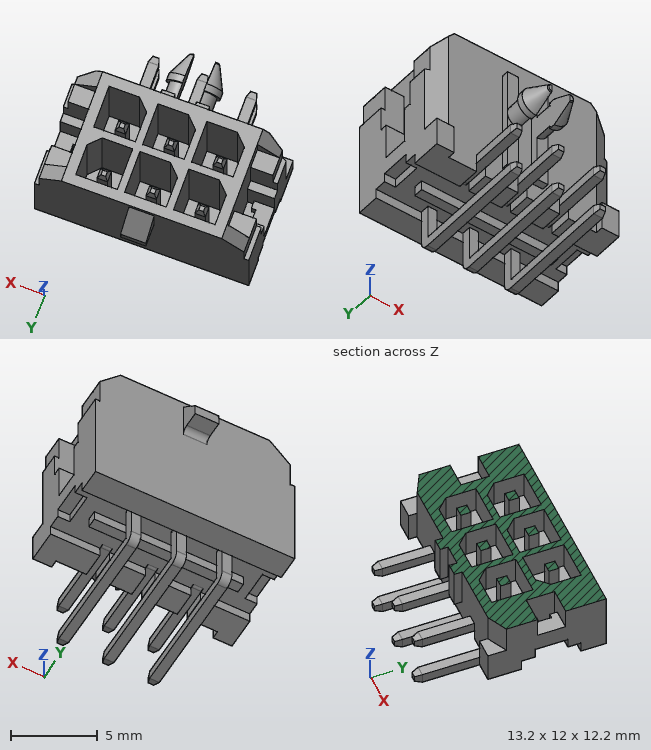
import cadquery as cq


HOUSING_HEIGHT = 9.89
HOUSING_DEPTH = 6.88
CORE_WIDTH = 9.84
FRONT_FACE_WIDTH = 10.65

OVERALL_WIDTH = 13.15
WING_TOP_WIDTH = 12.57
WING_STEP_Z = 6.68
WING_TOP_Z = 8.47
FRONT_SLANT_DEPTH = 0.65
FRONT_RAMP_DEPTH = 0.96
BACK_RAMP_DEPTH = 0.9

UPPER_RECESS_FRONT = 2.06
UPPER_RECESS_BACK = 4.8
UPPER_RECESS_FLOOR = 4.98
LOWER_RECESS_FRONT = 2.59
LOWER_RECESS_BACK = 4.33
LOWER_RECESS_FLOOR = 2.47
NAIL_SLOT_DEPTH = 0.9
NAIL_KEY_WIDTH = 0.8
NAIL_KEY_REACH = 0.28
SIDE_NOTCH_DEPTH = 0.79
SIDE_NOTCH_WIDTH = 2.03
SIDE_NOTCH_TOP = 1.32

FOOT_HEIGHT = 2.0
FOOT_STANDOFF = 0.51
RAIL_STANDOFF = 0.49
RAIL_WIDTH = 0.8
RAIL_GAP = 1.32
RAIL_BOTTOM = 1.26

PITCH = 3.0
COLUMN_X = (-PITCH, 0, PITCH)
FRONT_ROW_Y = 1.96
BACK_ROW_Y = FRONT_ROW_Y + PITCH
ROW_MIDDLE_Y = (FRONT_ROW_Y + BACK_ROW_Y) / 2
PIN_SIZE = 0.65
TAIL_TIP_SIZE = 0.38
CONTACT_TIP_SIZE = 0.29
PIN_TAPER = 0.43
PIN_TOP_Z = 6.84
PIN_BEND_RADIUS = 0.59
LOWEST_Z = -2.35
FRONT_REACH = 3.68
CAVITY_SIZE = 2.55
CAVITY_CORNER = 0.68
CAVITY_FLOOR = 2.0

CHANNEL_FRONT = 1.59
CHANNEL_BACK = BACK_ROW_Y + PIN_SIZE / 2
CHANNEL_HEIGHT = 0.68

PEG_Z = 5.29
PEG_RADIUS = RAIL_WIDTH
COLLAR_RADIUS = 1.0
COLLAR_BACK = 1.72
COLLAR_FRONT = 2.16
PEG_TIP_RADIUS = 0.29
PEG_TIP_CHAMFER = 0.07

LATCH_WIDTH = 1.55
LATCH_REACH = 1.4
LATCH_TOP = 9.48
LATCH_EDGE_TOP = 8.1
LATCH_UNDERSIDE = 7.36
LATCH_FILLET = 0.4


def block(x_range, y_range, z_range):
    """Axis-aligned box between two limits on each axis."""
    size = [high - low for low, high in (x_range, y_range, z_range)]
    return cq.Workplane("XY").box(*size, centered=False).translate((x_range[0], y_range[0], z_range[0]))


def centred_block(width, y_range, z_range):
    """Box centred on X = 0."""
    return block((-width / 2, width / 2), y_range, z_range)


def both_sides(shape):
    """The shape together with its mirror image across X = 0."""
    return shape.union(shape.mirror("YZ"))


def plan_outline(width):
    """Closed outline in plan, with the two front corners slanted back."""
    slope = FRONT_SLANT_DEPTH / (OVERALL_WIDTH - FRONT_FACE_WIDTH)
    corner_y = (width - FRONT_FACE_WIDTH) * slope
    return (
        cq.Workplane("XY")
        .moveTo(-FRONT_FACE_WIDTH / 2, 0)
        .lineTo(FRONT_FACE_WIDTH / 2, 0)
        .lineTo(width / 2, corner_y)
        .lineTo(width / 2, HOUSING_DEPTH)
        .lineTo(-width / 2, HOUSING_DEPTH)
        .lineTo(-width / 2, corner_y)
        .close()
    )


def make_housing():
    """Core with stepped wings whose tops rise to the core as ramps at front and back."""
    lower = plan_outline(OVERALL_WIDTH).extrude(WING_STEP_Z)
    upper = plan_outline(WING_TOP_WIDTH).extrude(HOUSING_HEIGHT)
    ramped_section = (
        cq.Workplane("XZ")
        .moveTo(-WING_TOP_WIDTH / 2, 0)
        .lineTo(WING_TOP_WIDTH / 2, 0)
        .lineTo(WING_TOP_WIDTH / 2, WING_TOP_Z)
        .lineTo(CORE_WIDTH / 2, HOUSING_HEIGHT)
        .lineTo(-CORE_WIDTH / 2, HOUSING_HEIGHT)
        .lineTo(-WING_TOP_WIDTH / 2, WING_TOP_Z)
        .close()
        .extrude(-HOUSING_DEPTH)
    )
    flat_top = both_sides(
        block(
            (CORE_WIDTH / 2, OVERALL_WIDTH / 2),
            (FRONT_RAMP_DEPTH, HOUSING_DEPTH - BACK_RAMP_DEPTH),
            (WING_TOP_Z, HOUSING_HEIGHT),
        )
    )
    return lower.union(upper.intersect(ramped_section)).cut(flat_top)


def make_side_recesses():
    """Stepped side recess, nail slot in its floor, and notch in the bottom edge, on both sides."""
    side_x = (CORE_WIDTH / 2, OVERALL_WIDTH / 2)
    lower_y = (LOWER_RECESS_FRONT, LOWER_RECESS_BACK)
    slot_z = (LOWER_RECESS_FLOOR - NAIL_SLOT_DEPTH, LOWER_RECESS_FLOOR)
    slot_edge_x = FRONT_FACE_WIDTH / 2
    key_y = (ROW_MIDDLE_Y - NAIL_KEY_WIDTH / 2, ROW_MIDDLE_Y + NAIL_KEY_WIDTH / 2)
    notch_x = (OVERALL_WIDTH / 2 - SIDE_NOTCH_DEPTH, OVERALL_WIDTH / 2)
    notch_y = (ROW_MIDDLE_Y - SIDE_NOTCH_WIDTH / 2, ROW_MIDDLE_Y + SIDE_NOTCH_WIDTH / 2)

    upper = block(side_x, (UPPER_RECESS_FRONT, UPPER_RECESS_BACK), (UPPER_RECESS_FLOOR, HOUSING_HEIGHT))
    lower = block(side_x, lower_y, (LOWER_RECESS_FLOOR, UPPER_RECESS_FLOOR))
    nail_slot = block((CORE_WIDTH / 2, slot_edge_x), lower_y, slot_z)
    nail_key = block((CORE_WIDTH / 2, slot_edge_x + NAIL_KEY_REACH), key_y, slot_z)
    notch = block(notch_x, notch_y, (0, SIDE_NOTCH_TOP))
    return both_sides(upper.union(lower).union(nail_slot).union(nail_key).union(notch))


def make_cavity(x, y, corner):
    """Square contact cavity with one front corner cut off: -1 for the left one, 1 for the right one."""
    half = CAVITY_SIZE / 2
    return (
        cq.Workplane("XY")
        .moveTo(corner * half, half)
        .lineTo(-corner * half, half)
        .lineTo(-corner * half, -half)
        .lineTo(corner * (half - CAVITY_CORNER), -half)
        .lineTo(corner * half, CAVITY_CORNER - half)
        .close()
        .extrude(HOUSING_HEIGHT - CAVITY_FLOOR)
        .translate((x, y, CAVITY_FLOOR))
    )


def make_channel():
    """Channel across the underside with a rib along its middle."""
    channel = centred_block(OVERALL_WIDTH, (CHANNEL_FRONT, CHANNEL_BACK), (0, CHANNEL_HEIGHT))
    rib_y = (ROW_MIDDLE_Y - PIN_SIZE / 2, ROW_MIDDLE_Y + PIN_SIZE / 2)
    rib = centred_block(CORE_WIDTH, rib_y, (0, CHANNEL_HEIGHT))
    return channel.cut(rib)


def make_foot():
    """Foot filling the slanted corner and standing out in front of it."""
    return (
        cq.Workplane("XY")
        .moveTo(FRONT_FACE_WIDTH / 2, -FOOT_STANDOFF)
        .lineTo(OVERALL_WIDTH / 2, -FOOT_STANDOFF)
        .lineTo(OVERALL_WIDTH / 2, FRONT_SLANT_DEPTH)
        .lineTo(FRONT_FACE_WIDTH / 2, 0)
        .close()
        .extrude(FOOT_HEIGHT)
    )


def make_rail():
    """Upright rail on the front face."""
    return block(
        (RAIL_GAP / 2, RAIL_GAP / 2 + RAIL_WIDTH),
        (-RAIL_STANDOFF, 0),
        (RAIL_BOTTOM, WING_TOP_Z),
    )


def make_half_peg():
    """Half of a barbed round peg, its flat side level with the inner side of the rail."""
    tip_shoulder_y = -(FRONT_REACH - PEG_TIP_CHAMFER)
    return (
        cq.Workplane("XY")
        .lineTo(PEG_RADIUS, 0)
        .lineTo(PEG_RADIUS, -COLLAR_BACK)
        .lineTo(COLLAR_RADIUS, -COLLAR_BACK)
        .lineTo(COLLAR_RADIUS, -COLLAR_FRONT)
        .lineTo(PEG_TIP_RADIUS, tip_shoulder_y)
        .lineTo(PEG_TIP_RADIUS - PEG_TIP_CHAMFER, -FRONT_REACH)
        .lineTo(0, -FRONT_REACH)
        .close()
        .revolve(180, (0, 0, 0), (0, 1, 0))
        .rotate((0, 0, 0), (0, 1, 0), -90)
        .translate((RAIL_GAP / 2, 0, PEG_Z))
    )


def make_latch():
    """Latch ramp on the back face, blended into it underneath."""
    tip_y = HOUSING_DEPTH + LATCH_REACH
    return (
        cq.Workplane("YZ")
        .moveTo(HOUSING_DEPTH, LATCH_TOP)
        .lineTo(tip_y, LATCH_EDGE_TOP)
        .lineTo(tip_y, LATCH_UNDERSIDE)
        .lineTo(HOUSING_DEPTH + LATCH_FILLET, LATCH_UNDERSIDE)
        .radiusArc((HOUSING_DEPTH, LATCH_UNDERSIDE - LATCH_FILLET), -LATCH_FILLET)
        .close()
        .extrude(LATCH_WIDTH / 2, both=True)
    )


def tapered_bar(length, tip_size):
    """Square bar rising from the origin along Z, with a tapered tip."""
    straight = length - PIN_TAPER
    bar = cq.Workplane("XY").rect(PIN_SIZE, PIN_SIZE).extrude(straight)
    tip = (
        cq.Workplane("XY", origin=(0, 0, straight))
        .rect(PIN_SIZE, PIN_SIZE)
        .workplane(offset=PIN_TAPER)
        .rect(tip_size, tip_size)
        .loft(ruled=True)
    )
    return bar.union(tip)


def make_pin(x, y, tail_bottom):
    """Bent pin: a contact pointing up into its cavity and a tail pointing forward."""
    half = PIN_SIZE / 2
    tail_z = tail_bottom + half
    elbow = (
        block((-half, half), (-half, half), (-half, half))
        .edges("|X and >Y and <Z")
        .fillet(PIN_BEND_RADIUS)
        .translate((x, y, tail_z))
    )
    contact = tapered_bar(PIN_TOP_Z - tail_z - half, CONTACT_TIP_SIZE).translate((x, y, tail_z + half))
    tail = (
        tapered_bar(FRONT_REACH + y - half, TAIL_TIP_SIZE)
        .rotate((0, 0, 0), (1, 0, 0), 90)
        .translate((x, y - half, tail_z))
    )
    return elbow.union(contact).union(tail)


housing = make_housing().cut(make_side_recesses()).cut(make_channel())
housing = housing.union(both_sides(make_foot().union(make_rail()).union(make_half_peg())))
housing = housing.union(make_latch())

result = housing
front_tail_bottom = LOWEST_Z + PITCH
for column_x in COLUMN_X:
    pin_x = (column_x - PIN_SIZE / 2, column_x + PIN_SIZE / 2)
    result = result.cut(block(pin_x, (0, CHANNEL_FRONT), (0, front_tail_bottom)))
    for row_y in (FRONT_ROW_Y, BACK_ROW_Y):
        is_keyed = row_y == BACK_ROW_Y and column_x == PITCH
        result = result.cut(make_cavity(column_x, row_y, 1 if is_keyed else -1))
    result = result.union(make_pin(column_x, FRONT_ROW_Y, front_tail_bottom))
    result = result.union(make_pin(column_x, BACK_ROW_Y, LOWEST_Z))